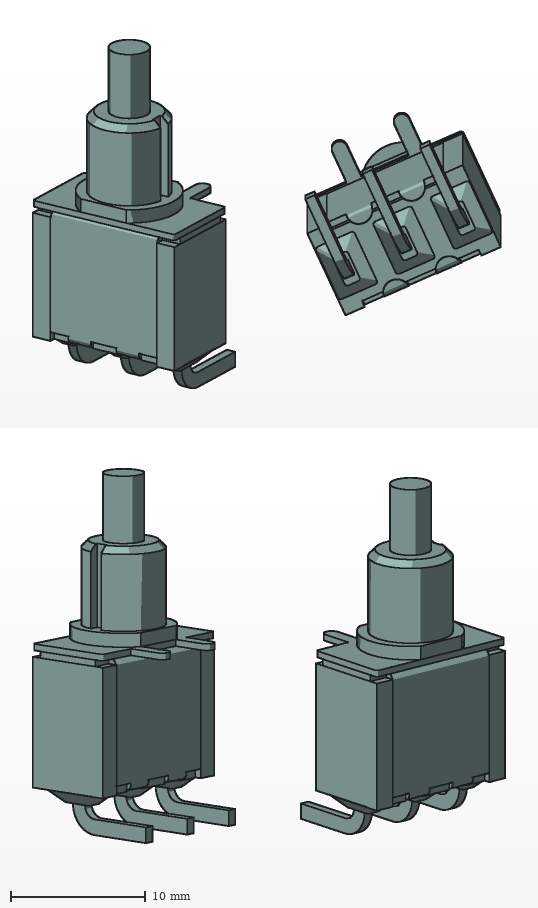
import cadquery as cq
import math


body_length = 12.7
body_width = 6.9
housing_height = 9.9

sheet = 0.5
bend_radius = 0.75
leg_length = 9.53
leg_bottom = 0.71
frame_top = housing_height + sheet
leg_inner_y = body_width / 2 - sheet
bend_start_y = body_width / 2 - bend_radius
inner_bend_radius = bend_radius - sheet

crimp_x = 2.15
crimp_radius = 1.02
crimp_bottom = 0.12
crimp_thickness = 0.46
crimp_top = crimp_bottom + crimp_thickness

bracket_top = frame_top + sheet
bracket_corner_radius = 0.25
bracket_tab_x = 2.54
bracket_tab_width = 1.2
rear_reach = 3.16
rear_y = body_width / 2 + rear_reach

flange_diameter = 8.0
flange_height = 1.05
bushing_diameter = 6.35
bushing_height = 6.35
bushing_chamfer = 0.53
keyway_width = 1.0
keyway_floor_x = 2.44
plunger_diameter = 3.1
plunger_top = 23.4
flange_top = bracket_top + flange_height
bushing_top = flange_top + bushing_height

terminal_pitch = 4.7
terminal_xs = [-terminal_pitch, 0, terminal_pitch]
terminal_thickness = 0.76
terminal_depth = 1.2
terminal_bottom = -3.18
terminal_inner_radius = 1.0
terminal_outer_radius = terminal_inner_radius + terminal_depth
bump_length = 3.17
bump_width = 4.4
bump_height = 0.97
bump_taper = 45
bump_edge_radius = 0.35


def upright_box(length, width, bottom, top):
    """Box centred on the Z axis between two heights."""
    return cq.Workplane("XY").workplane(offset=bottom).rect(length, width).extrude(top - bottom)


def crimp_discs(bottom, top):
    """Discs centred on the outer faces of the legs; they give the crimp tabs their round outline."""
    centres = [(x, y) for x in (-crimp_x, crimp_x) for y in (-body_width / 2, body_width / 2)]
    discs = cq.Workplane("XY").workplane(offset=bottom).pushPoints(centres).circle(crimp_radius)
    return discs.extrude(top - bottom)


def make_crimp_tabs(side):
    """Two tabs of one leg: down from its lower edge, around a quarter circle and inward."""
    outer_y = body_width / 2
    profile = (
        cq.Workplane("YZ")
        .workplane(offset=-leg_length / 2)
        .moveTo(outer_y, leg_bottom)
        .lineTo(outer_y, crimp_top)
        .radiusArc((outer_y - crimp_thickness, crimp_bottom), crimp_thickness)
        .lineTo(outer_y - crimp_radius, crimp_bottom)
        .lineTo(outer_y - crimp_radius, crimp_top)
        .lineTo(leg_inner_y, crimp_top)
        .lineTo(leg_inner_y, leg_bottom)
        .close()
    )
    tabs = profile.extrude(leg_length).intersect(crimp_discs(crimp_bottom, leg_bottom))
    return tabs if side > 0 else tabs.mirror("XZ")


def make_terminal(x):
    """Flat blade that leaves the housing downward and bends toward +Y."""
    half_depth = terminal_depth / 2
    bend_y = terminal_outer_radius - half_depth
    bend_z = terminal_bottom + terminal_outer_radius
    diagonal = math.sqrt(0.5)
    inner_mid = (bend_y - terminal_inner_radius * diagonal, bend_z - terminal_inner_radius * diagonal)
    outer_mid = (bend_y - terminal_outer_radius * diagonal, bend_z - terminal_outer_radius * diagonal)
    return (
        cq.Workplane("YZ")
        .workplane(offset=x - terminal_thickness / 2)
        .moveTo(-half_depth, 0)
        .lineTo(half_depth, 0)
        .lineTo(half_depth, bend_z)
        .threePointArc(inner_mid, (bend_y, terminal_bottom + terminal_depth))
        .lineTo(rear_y, terminal_bottom + terminal_depth)
        .lineTo(rear_y, terminal_bottom)
        .lineTo(bend_y, terminal_bottom)
        .threePointArc(outer_mid, (-half_depth, bend_z))
        .close()
        .extrude(terminal_thickness)
    )


def make_bump(x):
    """Tapered sealing bump under the housing, with rounded slanted edges."""
    bump = cq.Workplane("XY").rect(bump_length, bump_width).extrude(-bump_height, taper=bump_taper)
    slanted_edges = bump.edges("not(#Z)")
    return slanted_edges.fillet(bump_edge_radius).translate((x, 0, 0))


def make_frame_core():
    """Space enclosed by the frame: the middle of the housing with rounded top edges."""
    core = upright_box(leg_length, 2 * leg_inner_y, 0, housing_height)
    return core.edges("|X and >Z").fillet(inner_bend_radius)


def make_housing():
    housing = upright_box(body_length, body_width, 0, housing_height)
    channel = upright_box(leg_length, body_width, 0, housing_height)
    housing = housing.cut(channel).union(make_frame_core())
    housing = housing.cut(crimp_discs(0, crimp_top))
    for x in terminal_xs:
        housing = housing.union(make_bump(x)).cut(make_terminal(x))
    return housing


def make_frame():
    shell = upright_box(leg_length, body_width, leg_bottom, frame_top)
    shell = shell.edges("|X and >Z").fillet(bend_radius).cut(make_frame_core())
    wings = upright_box(body_length, 2 * bend_start_y, housing_height, frame_top)
    frame = shell.union(wings)
    front_tabs = make_crimp_tabs(-1)
    rear_tabs = make_crimp_tabs(1)
    return frame.union(front_tabs).union(rear_tabs)


def make_bracket():
    plate = upright_box(body_length, body_width, frame_top, bracket_top)
    bracket = plate.edges("|Z").fillet(bracket_corner_radius)
    tip_radius = bracket_tab_width / 2
    for x in (-bracket_tab_x, bracket_tab_x):
        tab = (
            cq.Workplane("XY")
            .workplane(offset=frame_top)
            .moveTo(x - tip_radius, 0)
            .lineTo(x - tip_radius, rear_y - tip_radius)
            .threePointArc((x, rear_y), (x + tip_radius, rear_y - tip_radius))
            .lineTo(x + tip_radius, 0)
            .close()
            .extrude(sheet)
        )
        bracket = bracket.union(tab)
    return bracket


def make_bushing():
    flange = cq.Workplane("XY").workplane(offset=bracket_top).circle(flange_diameter / 2)
    flange = flange.extrude(flange_height)
    flange = flange.intersect(upright_box(flange_diameter, body_width, bracket_top, flange_top))
    barrel = cq.Workplane("XY").workplane(offset=flange_top).circle(bushing_diameter / 2)
    barrel = barrel.extrude(bushing_height).faces(">Z").chamfer(bushing_chamfer)
    keyway = upright_box(bushing_diameter, keyway_width, flange_top, bushing_top)
    keyway = keyway.translate((keyway_floor_x + bushing_diameter / 2, 0, 0))
    return flange.union(barrel.cut(keyway)).cut(make_plunger())


def make_plunger():
    base = cq.Workplane("XY").workplane(offset=bracket_top)
    return base.circle(plunger_diameter / 2).extrude(plunger_top - bracket_top)


housing = make_housing()
frame = make_frame()
bracket = make_bracket()
bushing = make_bushing()
plunger = make_plunger()
terminals = [make_terminal(x) for x in terminal_xs]

result = cq.Compound.makeCompound(
    [
        housing.val(),
        frame.val(),
        bracket.val(),
        bushing.val(),
        plunger.val(),
        *[terminal.val() for terminal in terminals],
    ]
)